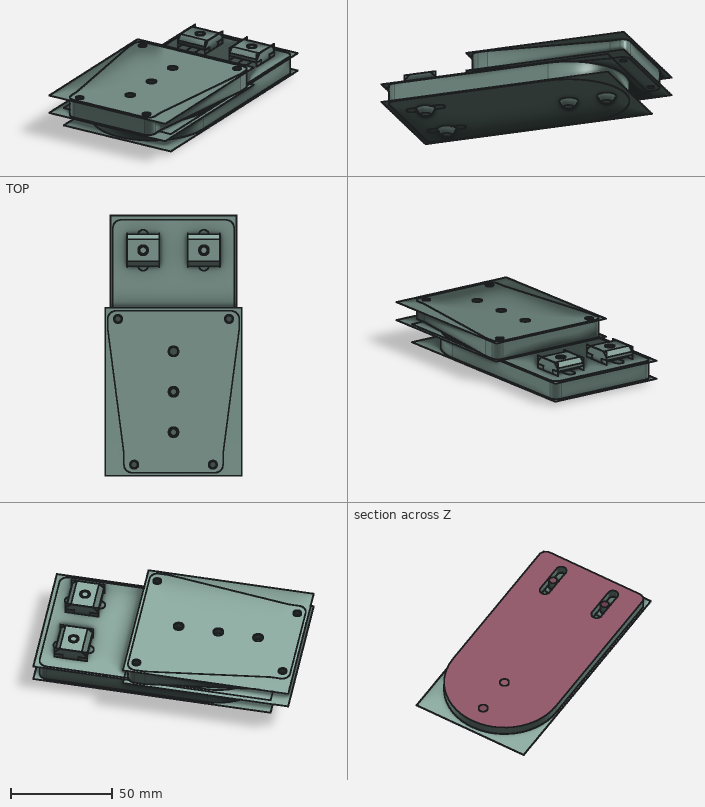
import cadquery as cq


TOTAL_LENGTH = 128.9
PLATE_THICKNESS = 9.5
CORNER_RADIUS = 4.0
LIP_SHARE = 0.02
LIP_THICKNESS = 0.06
LIP_SETBACK = 0.06
BOTTOM_SHEET_HEIGHT = LIP_SETBACK
TOP_SHEET_HEIGHT = PLATE_THICKNESS - LIP_SETBACK - LIP_THICKNESS

UPPER_LENGTH = 80.0
UPPER_BACK_WIDTH = 65.0
UPPER_FRONT_WIDTH = 49.0
TAPER_LENGTH = 61.6
CORNER_HOLE_DIAMETER = 3.4
CORNER_HOLE_SIDE_INSET = 5.0
CORNER_HOLE_END_INSET = 4.0

LOWER_WIDTH = 60.0
LOWER_FRONT_Y = -LOWER_WIDTH / 2
BACK_LIP_Y = TOTAL_LENGTH - UPPER_LENGTH * (0.5 + LIP_SHARE)
LOWER_BACK_Y = (BACK_LIP_Y + LIP_SHARE * LOWER_FRONT_Y) / (1 + LIP_SHARE)
SLOT_LENGTH = 20.2
SLOT_WIDTH = 5.0

SHANK_DIAMETER = 4.3
TIP_CHAMFER = 0.4
RIM_CHAMFER = 0.4
SCREW_PITCH = 20.0
HEAD_DIAMETER = 9.5
HEAD_FLAT_DIAMETER = 4.8
HEAD_HEIGHT = 3.0
HEAD_BULGE_DIAMETER = 7.9

NUT_SIZE = 16.0
NUT_HEIGHT = 6.3
NUT_STEM_WIDTH = 7.9
NUT_STEM_HEIGHT = 2.2
NUT_CHAMFER = 2.5
NUT_SPACING = 30.0
NUT_Y = 70.0

NUT_POINTS = [(-NUT_SPACING / 2, NUT_Y), (NUT_SPACING / 2, NUT_Y)]
JOINT_POINTS = [(0, 0), (0, -SCREW_PITCH)]
UPPER_HOLE_POINTS = [(0, SCREW_PITCH)] + JOINT_POINTS


def make_sheet(width, length, centre_y, bottom_z):
    """Thin rectangular sheet that sticks out past a face of a plate on all four sides."""
    sheet_width = width * (1 + 2 * LIP_SHARE)
    sheet_length = length * (1 + 2 * LIP_SHARE)
    base = cq.Workplane("XY", origin=(0, centre_y, bottom_z))
    return base.rect(sheet_width, sheet_length).extrude(LIP_THICKNESS)


def make_threaded_holes(points, diameter, depth, top_z):
    """Cutters for round holes whose rims are chamfered at the top."""
    top = cq.Workplane("XY", origin=(0, 0, top_z)).pushPoints(points)
    holes = top.circle(diameter / 2).extrude(-depth)
    rims = top.circle(diameter / 2 + RIM_CHAMFER).extrude(-RIM_CHAMFER, taper=45)
    return holes.union(rims)


def make_lower_plate():
    """Plate with one semicircular end, two slots under its thin sheets, and four screw holes."""
    half_width = LOWER_WIDTH / 2
    bottom = cq.Workplane("XY", origin=(0, 0, -PLATE_THICKNESS))
    plate = (
        bottom.moveTo(half_width, 0)
        .lineTo(half_width, LOWER_BACK_Y)
        .lineTo(-half_width, LOWER_BACK_Y)
        .lineTo(-half_width, 0)
        .threePointArc((0, LOWER_FRONT_Y), (half_width, 0))
        .close()
        .extrude(PLATE_THICKNESS)
        .edges("|Z and >Y")
        .fillet(CORNER_RADIUS)
    )
    slots = bottom.pushPoints(NUT_POINTS).slot2D(SLOT_LENGTH, SLOT_WIDTH, 90).extrude(PLATE_THICKNESS)
    plate = plate.cut(slots)
    length = LOWER_BACK_Y - LOWER_FRONT_Y
    centre_y = (LOWER_BACK_Y + LOWER_FRONT_Y) / 2
    for height in (BOTTOM_SHEET_HEIGHT, TOP_SHEET_HEIGHT):
        plate = plate.union(make_sheet(LOWER_WIDTH, length, centre_y, height - PLATE_THICKNESS))
    holes = bottom.pushPoints(NUT_POINTS + JOINT_POINTS).circle(SHANK_DIAMETER / 2).extrude(PLATE_THICKNESS)
    return plate.cut(holes)


def make_upper_plate():
    """Tapered plate with a hole near each corner and a row of three screw holes."""
    base = cq.Workplane("XY")
    back = UPPER_BACK_WIDTH / 2
    front = UPPER_FRONT_WIDTH / 2
    end_y = UPPER_LENGTH / 2
    taper_y = TAPER_LENGTH / 2
    right_side = [(front, -end_y), (front, -taper_y), (back, taper_y), (back, end_y)]
    left_side = [(-x, y) for x, y in reversed(right_side)]
    plate = (
        base.polyline(right_side + left_side)
        .close()
        .extrude(PLATE_THICKNESS)
        .edges("|Z and (>Y or <Y)")
        .fillet(CORNER_RADIUS)
    )
    plate = plate.union(make_sheet(UPPER_BACK_WIDTH, UPPER_LENGTH, 0, TOP_SHEET_HEIGHT))
    hole_y = end_y - CORNER_HOLE_END_INSET
    corner_points = [
        (side * (half_width - CORNER_HOLE_SIDE_INSET), y)
        for half_width, y in ((back, hole_y), (front, -hole_y))
        for side in (-1, 1)
    ]
    for points, diameter in ((corner_points, CORNER_HOLE_DIAMETER), (UPPER_HOLE_POINTS, SHANK_DIAMETER)):
        plate = plate.cut(make_threaded_holes(points, diameter, PLATE_THICKNESS, PLATE_THICKNESS))
    plate = plate.union(make_sheet(UPPER_BACK_WIDTH, UPPER_LENGTH, 0, BOTTOM_SHEET_HEIGHT))
    screw_holes = base.pushPoints(JOINT_POINTS).circle(SHANK_DIAMETER / 2).extrude(PLATE_THICKNESS)
    return plate.cut(screw_holes)


def make_nut(x, y):
    """T-shaped nut with a thin lip next to each end face, standing on the lower plate."""
    half = NUT_SIZE / 2
    stem = NUT_STEM_WIDTH / 2
    right_side = [
        (stem, 0),
        (stem, NUT_STEM_HEIGHT),
        (half, NUT_STEM_HEIGHT),
        (half, NUT_HEIGHT - NUT_CHAMFER),
        (half - NUT_CHAMFER, NUT_HEIGHT),
    ]
    left_side = [(-across, z) for across, z in reversed(right_side)]
    end = cq.Workplane("YZ", origin=(x - half, y, 0))
    nut = end.polyline(right_side + left_side).close().extrude(NUT_SIZE)
    lip_width = NUT_SIZE * (1 + 2 * LIP_SHARE)
    lip_height = NUT_HEIGHT * (1 + LIP_SHARE)
    for offset in (LIP_SETBACK, NUT_SIZE - LIP_SETBACK - LIP_THICKNESS):
        lip = end.workplane(offset=offset).rect(lip_width, 2 * lip_height).extrude(LIP_THICKNESS)
        above_plate = cq.Workplane("XY", origin=(x, y, 0)).rect(2 * NUT_SIZE, 2 * NUT_SIZE).extrude(lip_height)
        nut = nut.union(lip.intersect(above_plate))
    return nut.cut(make_threaded_holes([(x, y)], SHANK_DIAMETER, NUT_HEIGHT, NUT_HEIGHT))


def make_screw(x, y):
    """Domed screw with its head under the lower plate and its tip level with the nuts."""
    head_z = -PLATE_THICKNESS
    tip_z = NUT_HEIGHT
    shank_radius = SHANK_DIAMETER / 2
    return (
        cq.Workplane("XZ", origin=(x, y, 0))
        .moveTo(0, head_z - HEAD_HEIGHT)
        .lineTo(HEAD_FLAT_DIAMETER / 2, head_z - HEAD_HEIGHT)
        .threePointArc((HEAD_BULGE_DIAMETER / 2, head_z - HEAD_HEIGHT / 2), (HEAD_DIAMETER / 2, head_z))
        .lineTo(shank_radius, head_z)
        .lineTo(shank_radius, tip_z - TIP_CHAMFER)
        .lineTo(shank_radius - TIP_CHAMFER, tip_z)
        .lineTo(0, tip_z)
        .close()
        .revolve(360, (0, 0, 0), (0, 1, 0))
    )


lower_plate = make_lower_plate()
upper_plate = make_upper_plate()
nuts = [make_nut(x, y) for x, y in NUT_POINTS]
screws = [make_screw(x, y) for x, y in NUT_POINTS + JOINT_POINTS]

bodies = [lower_plate, upper_plate] + nuts + screws
result = cq.Compound.makeCompound([body.val() for body in bodies])